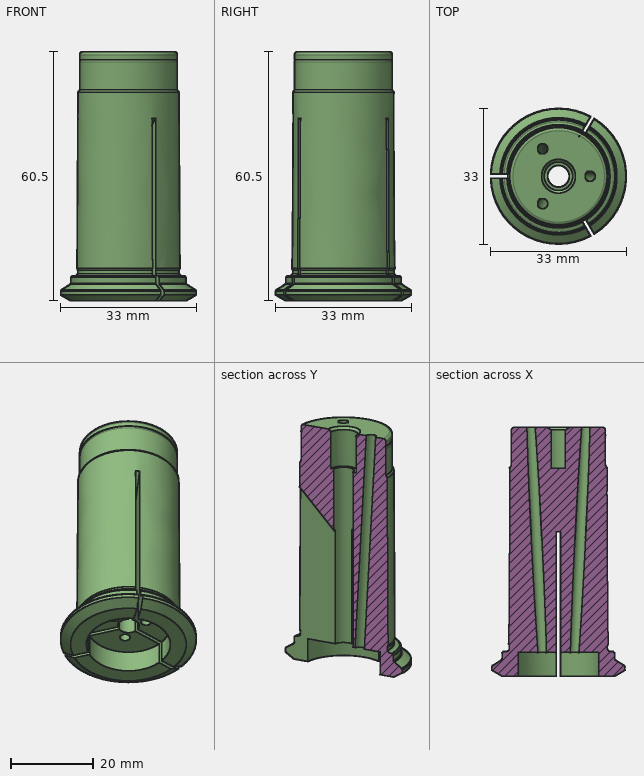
import cadquery as cq
import math

length = 60.5
rim_radius = 33.0 / 2

rim_face_radius = 14.05
rim_bottom = 1.45
rim_top = 2.35
rim_cone_bottom = 2.65
rim_cone_start_radius = 16.35
rim_cone_top = 4.0
rim_cone_end_radius = 14.2
flange_radius = 14.05
flange_bottom = 4.25
flange_top = 6.05
flange_chamfer = 0.35

neck_radius = 12.35
neck_sweep_width = 0.9
neck_sweep_height = 0.55
neck_top = 7.45

body_bottom = 7.9
body_bottom_radius = 12.5
body_top = 50.65
body_top_radius = 12.3
shoulder_top = 51.2

head_radius = 23.8 / 2
head_face_radius = 22.2 / 2
groove_bottom = 58.0
groove_top = 58.55
groove_depth = 0.1

bore_diameter = 5.2
top_bore_diameter = 6.9
top_bore_depth = 10.0
top_chamfer_diameter = 8.2
mouth_diameter = 20.4
mouth_depth = 5.8

slot_width = 0.95
slot_top = 44.35
slot_angles = (60, 180, 300)

small_hole_diameter = 2.5
small_hole_top_radius = 7.7
small_hole_bottom_radius = 4.55
small_hole_angles = (0, 120, 240)
overrun = 3.0


def make_body():
    """Revolve the outer outline about Z."""
    head_round = head_radius - head_face_radius
    arc_offset = head_round * math.sqrt(0.5)
    sweep_radius = math.hypot(neck_sweep_width, neck_sweep_height) ** 2 / (2 * neck_sweep_height)
    sweep_half_angle = math.asin(neck_sweep_width / sweep_radius) / 2
    sweep_start_radius = neck_radius + neck_sweep_width
    sweep_middle = (
        sweep_start_radius - sweep_radius * math.sin(sweep_half_angle),
        flange_top + sweep_radius * (1 - math.cos(sweep_half_angle)),
    )
    outline = (
        cq.Workplane("XZ")
        .moveTo(0, 0)
        .lineTo(rim_face_radius, 0)
        .lineTo(rim_radius, rim_bottom)
        .lineTo(rim_radius, rim_top)
        .lineTo(rim_cone_start_radius, rim_cone_bottom)
        .lineTo(rim_cone_end_radius, rim_cone_top)
        .lineTo(flange_radius, flange_bottom)
        .lineTo(flange_radius, flange_top - flange_chamfer)
        .lineTo(flange_radius - flange_chamfer, flange_top)
        .lineTo(sweep_start_radius, flange_top)
        .threePointArc(sweep_middle, (neck_radius, flange_top + neck_sweep_height))
        .lineTo(neck_radius, neck_top)
        .lineTo(body_bottom_radius, body_bottom)
        .lineTo(body_top_radius, body_top)
        .lineTo(head_radius, shoulder_top)
        .lineTo(head_radius, groove_bottom)
        .lineTo(head_radius - groove_depth, groove_top)
        .lineTo(head_radius, groove_top)
        .lineTo(head_radius, length - head_round)
        .threePointArc(
            (head_face_radius + arc_offset, length - head_round + arc_offset),
            (head_face_radius, length),
        )
        .lineTo(0, length)
        .close()
    )
    return outline.revolve(360, (0, 0, 0), (0, 1, 0))


def make_bores():
    """Stepped central passage, chamfered at the top and wide at the mouth."""
    bore_radius = bore_diameter / 2
    top_bore_radius = top_bore_diameter / 2
    mouth_radius = mouth_diameter / 2
    top_chamfer_radius = top_chamfer_diameter / 2
    chamfer_depth = top_chamfer_radius - top_bore_radius
    outline = cq.Workplane("XZ").polyline([
        (0, 0),
        (mouth_radius, 0),
        (mouth_radius, mouth_depth),
        (bore_radius, mouth_depth),
        (bore_radius, length - top_bore_depth),
        (top_bore_radius, length - top_bore_depth),
        (top_bore_radius, length - chamfer_depth),
        (top_chamfer_radius, length),
        (0, length),
    ]).close()
    return outline.revolve(360, (0, 0, 0), (0, 1, 0))


def make_slot(angle):
    """Radial slot from the lower end, ramping out to the body surface."""
    outer = rim_radius + overrun
    profile = cq.Workplane("XZ").polyline([
        (0, 0),
        (outer, 0),
        (outer, slot_top),
        (body_top_radius, slot_top),
        (0, slot_top - body_top_radius),
    ]).close()
    slot = profile.extrude(slot_width / 2, both=True)
    return slot.rotate((0, 0, 0), (0, 0, 1), angle)


def make_small_hole(angle):
    """Inclined hole from the top face down to the mouth."""
    drop = length - mouth_depth
    inward = small_hole_top_radius - small_hole_bottom_radius
    direction = cq.Vector(-inward, 0, -drop).normalized()
    start = cq.Vector(small_hole_top_radius, 0, length) - direction * overrun
    hole_length = math.hypot(inward, drop) + 2 * overrun
    hole = cq.Solid.makeCylinder(small_hole_diameter / 2, hole_length, start, direction)
    return cq.Workplane(hole).rotate((0, 0, 0), (0, 0, 1), angle)


result = make_body().cut(make_bores())
for slot_angle in slot_angles:
    result = result.cut(make_slot(slot_angle))
for hole_angle in small_hole_angles:
    result = result.cut(make_small_hole(hole_angle))